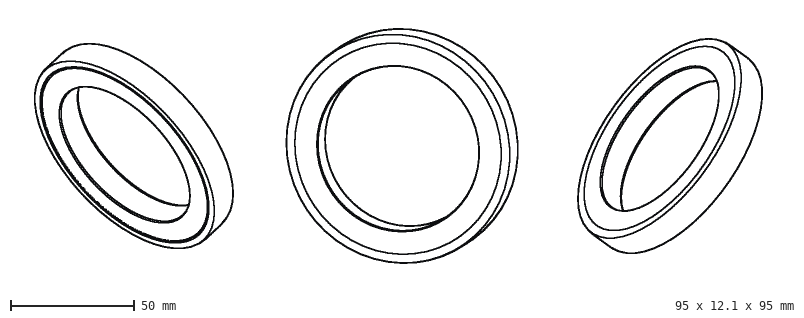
import cadquery as cq

outer_diameter = 95.0
bore_diameter = 68.0
width = 12.1

rear_chamfer_length = 1.1
front_chamfer_length = 0.95
outer_chamfer_depth = 0.3
bore_chamfer_length = 0.8
bore_chamfer_depth = 0.3

core_radius = 43.6
mouth_chamfer_length = 0.5
mouth_chamfer_depth = 0.8

outer_radius = outer_diameter / 2
bore_radius = bore_diameter / 2
front = -width / 2
rear = width / 2


def revolve_profile(points):
    """Revolve a closed (radius, y) outline about the Y axis."""
    full_turn = 360
    axis_start = (0, 0, 0)
    axis_end = (0, 1, 0)
    return cq.Workplane("XY").polyline(points).close().revolve(full_turn, axis_start, axis_end)


def make_case():
    """Outer ring, chamfered outside at both ends and inside at its mouth."""
    return revolve_profile([
        (core_radius + mouth_chamfer_depth, front),
        (outer_radius - outer_chamfer_depth, front),
        (outer_radius, front + front_chamfer_length),
        (outer_radius, rear - rear_chamfer_length),
        (outer_radius - outer_chamfer_depth, rear),
        (core_radius, rear),
        (core_radius, front + mouth_chamfer_length),
    ])


def make_core():
    """Inner ring filling the case, with a bore chamfered at both ends."""
    return revolve_profile([
        (bore_radius + bore_chamfer_depth, front),
        (core_radius, front),
        (core_radius, rear),
        (bore_radius + bore_chamfer_depth, rear),
        (bore_radius, rear - bore_chamfer_length),
        (bore_radius, front + bore_chamfer_length),
    ])


case = make_case()
core = make_core()

result = cq.Compound.makeCompound([case.val(), core.val()])